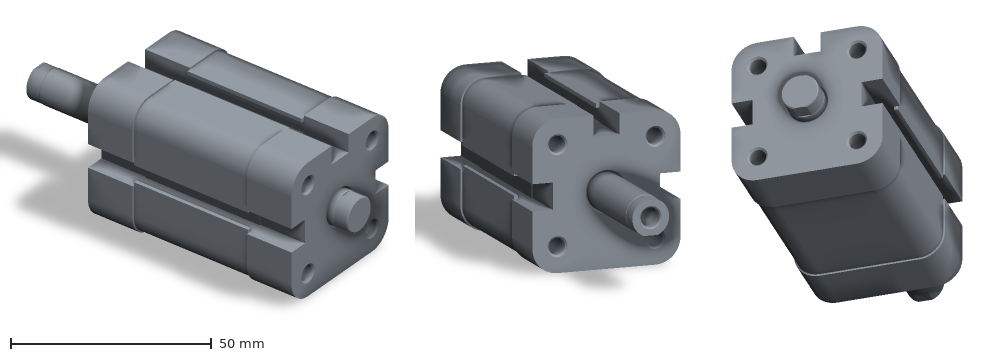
import cadquery as cq

ROD_LENGTH = 101.0
FRONT_CAP_X = 30.9
CAP_LENGTH = 14.0
TUBE_LENGTH = 36.0
TUBE_X = FRONT_CAP_X + CAP_LENGTH
REAR_CAP_X = TUBE_X + TUBE_LENGTH

CAP_WIDTH = 39.5
TUBE_WIDTH = 38.5
CORNER_CENTRE = 13.0
BOLT_DIAMETER = 4.3
BOLT_CHAMFER = 0.5

GROOVE_WIDTH = 7.0
GROOVE_MOUTH = 5.0
LIP_THICKNESS = 1.1
CAP_FLOOR = CAP_WIDTH / 2 - 5.5
TUBE_FLOOR = CAP_FLOOR + 0.3
GROOVE_ANGLES = (-90, 0, 90)

ROD_DIAMETER = 10.0
ROD_CLEARANCE_CHAMFER = 0.5
NECK_DIAMETER = 9.8
NECK_LENGTH = 4.0
CONE_LENGTH = 0.3
REAR_TIP_CHAMFER = 0.3
FLAT_WIDTH = 9.1
THREAD_DIAMETER = 5.0
THREAD_CHAMFER = 0.4
THREAD_DEPTH = 12.1
DRILL_TIP_LENGTH = 1.5


def cylinder(diameter, x_start, length):
    """Cylinder on the rod axis."""
    return cq.Workplane("YZ", origin=(x_start, 0, 0)).circle(diameter / 2).extrude(length)


def rounded_block(width, x_start, length):
    """Square bar along X, with its corners rounded about the bolt centres."""
    block = cq.Workplane("YZ", origin=(x_start, 0, 0)).rect(width, width).extrude(length)
    return block.edges("|X").fillet(width / 2 - CORNER_CENTRE)


def cut_grooves(body, width, bottom, top, x_start, length):
    """Cut a straight channel between two heights, once for each grooved side."""
    channel = cq.Workplane("XY").box(length, width, top - bottom, centered=(False, True, False))
    channel = channel.translate((x_start, 0, bottom))
    for angle in GROOVE_ANGLES:
        body = body.cut(channel.rotate((0, 0, 0), (1, 0, 0), angle))
    return body


def cut_holes(body, x_start, length):
    """Cut the rod bore and the four bolt holes through a body."""
    bolt_holes = (
        cq.Workplane("YZ", origin=(x_start, 0, 0))
        .rect(2 * CORNER_CENTRE, 2 * CORNER_CENTRE, forConstruction=True)
        .vertices()
        .circle(BOLT_DIAMETER / 2)
        .extrude(length)
    )
    return body.cut(cylinder(ROD_DIAMETER, x_start, length)).cut(bolt_holes)


def make_cap(x_start, outer_face):
    """End cap whose holes are chamfered on the outer face."""
    cap = rounded_block(CAP_WIDTH, x_start, CAP_LENGTH)
    cap = cut_grooves(cap, GROOVE_WIDTH, CAP_FLOOR, CAP_WIDTH / 2, x_start, CAP_LENGTH)
    cap = cut_holes(cap, x_start, CAP_LENGTH)
    hole_edges = cap.faces(outer_face).edges("%CIRCLE")
    bolt_edges = hole_edges.edges(cq.selectors.RadiusNthSelector(0))
    cap = cap.newObject(bolt_edges.vals()).chamfer(BOLT_CHAMFER)
    bore_edge = cap.faces(outer_face).edges(cq.selectors.RadiusNthSelector(1))
    return cap.newObject(bore_edge.vals()).chamfer(ROD_CLEARANCE_CHAMFER)


def make_tube():
    """Cylinder tube with undercut grooves."""
    tube = rounded_block(TUBE_WIDTH, TUBE_X, TUBE_LENGTH)
    lip_bottom = TUBE_WIDTH / 2 - LIP_THICKNESS
    tube = cut_grooves(tube, GROOVE_WIDTH, TUBE_FLOOR, lip_bottom, TUBE_X, TUBE_LENGTH)
    tube = cut_grooves(tube, GROOVE_MOUTH, lip_bottom, TUBE_WIDTH / 2, TUBE_X, TUBE_LENGTH)
    return cut_holes(tube, TUBE_X, TUBE_LENGTH)


def make_rod():
    """Turned rod with a flatted neck at each end and a blind hole in the front tip."""
    rod_radius = ROD_DIAMETER / 2
    neck_radius = NECK_DIAMETER / 2
    thread_radius = THREAD_DIAMETER / 2
    rear_flat_length = NECK_LENGTH + REAR_TIP_CHAMFER
    rear_neck_x = ROD_LENGTH - rear_flat_length
    half_profile = (
        cq.Workplane("XZ")
        .moveTo(THREAD_DEPTH + DRILL_TIP_LENGTH, 0)
        .lineTo(THREAD_DEPTH, thread_radius)
        .lineTo(THREAD_CHAMFER, thread_radius)
        .lineTo(0, thread_radius + THREAD_CHAMFER)
        .lineTo(0, neck_radius)
        .lineTo(NECK_LENGTH, neck_radius)
        .lineTo(NECK_LENGTH + CONE_LENGTH, rod_radius)
        .lineTo(rear_neck_x - CONE_LENGTH, rod_radius)
        .lineTo(rear_neck_x, neck_radius)
        .lineTo(ROD_LENGTH - REAR_TIP_CHAMFER, neck_radius)
        .lineTo(ROD_LENGTH, neck_radius - REAR_TIP_CHAMFER)
        .lineTo(ROD_LENGTH, 0)
        .close()
    )
    rod = half_profile.revolve(360, (0, 0, 0), (1, 0, 0))
    for x_start, length in ((0, NECK_LENGTH), (rear_neck_x, rear_flat_length)):
        neck_slice = cylinder(ROD_DIAMETER, x_start, length)
        kept = cq.Workplane("XY").box(length, ROD_DIAMETER, FLAT_WIDTH, centered=(False, True, True))
        rod = rod.cut(neck_slice.cut(kept.translate((x_start, 0, 0))))
    return rod


front_cap = make_cap(FRONT_CAP_X, "<X")
tube = make_tube()
rear_cap = make_cap(REAR_CAP_X, ">X")
rod = make_rod()

bodies = (front_cap, tube, rear_cap, rod)
result = cq.Compound.makeCompound([body.solids().val() for body in bodies])